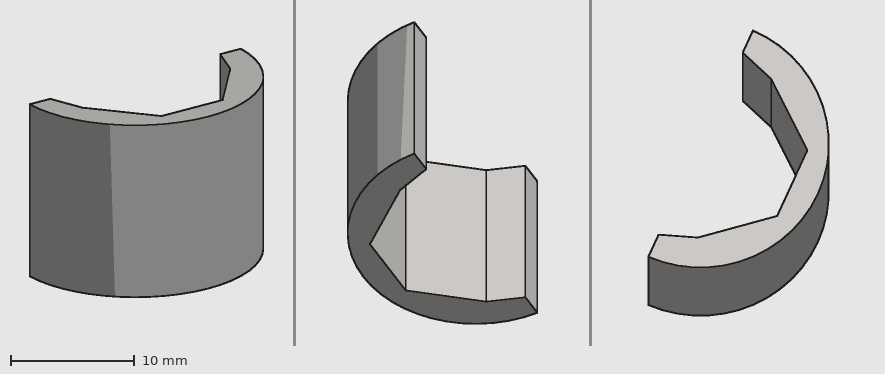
import cadquery as cq

outer_radius = 10.35
height = 15.0

mouth_half_width = 8.32
bend_depth = 3.0
bend_half_width = 7.25
back_depth = 8.1
back_half_width = 3.0

result = (
    cq.Workplane("XY")
    .moveTo(0, -outer_radius)
    .threePointArc((outer_radius, 0), (0, outer_radius))
    .lineTo(0, mouth_half_width)
    .lineTo(bend_depth, bend_half_width)
    .lineTo(back_depth, back_half_width)
    .lineTo(back_depth, -back_half_width)
    .lineTo(bend_depth, -bend_half_width)
    .lineTo(0, -mouth_half_width)
    .close()
    .extrude(height)
)